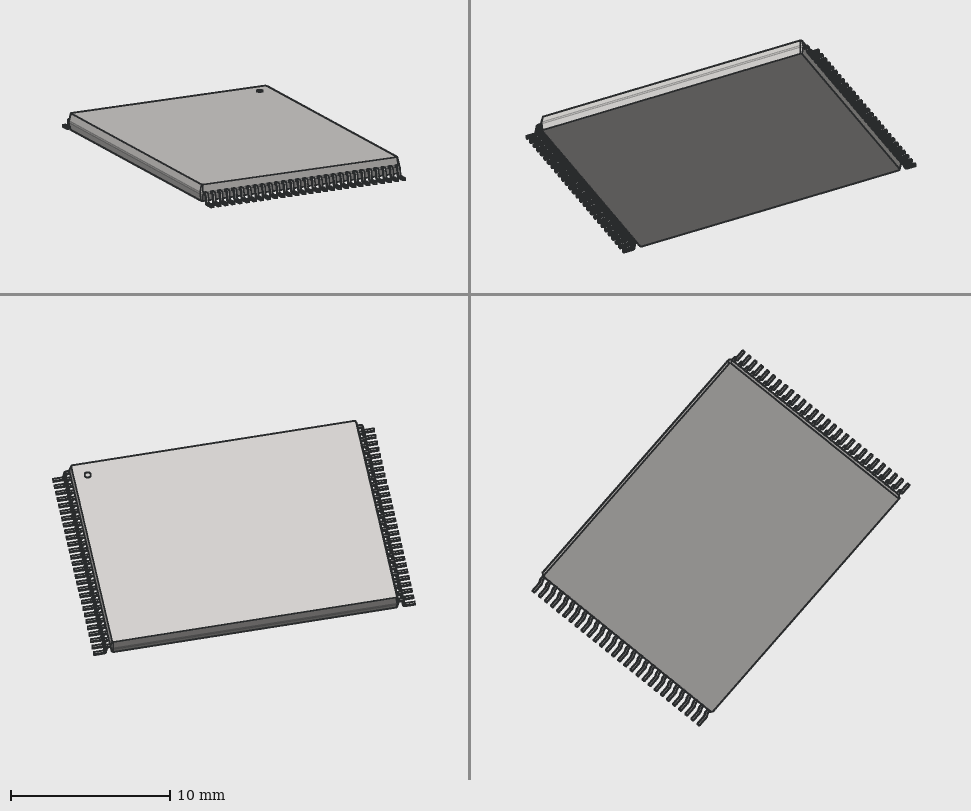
import cadquery as cq
import math

span_x = 20.5
body_x = 18.4
body_y = 14.0
top_z = 1.2
standoff = 0.13

upper_inset = 0.11
lower_inset = 0.08
corner_chamfer = 0.13

leads_per_side = 28
lead_pitch = 0.5
lead_width = 0.17
lead_thickness = 0.125
lead_top_z = 0.73
foot_length = 0.74
leg_lean = 0.11
bend_inner_radius = 0.04
bend_outer_radius = bend_inner_radius + lead_thickness
lead_embed = 0.2

band_top_z = lead_top_z
band_bottom_z = lead_top_z - lead_thickness

dimple_diameter = 0.4
dimple_depth = 0.05
dimple_edge_distance = 0.9


def plan_outline(z):
    """Sketch of the body outline with chamfered corners, at height z."""
    half_x = body_x / 2
    half_y = body_y / 2
    cut = corner_chamfer
    return (
        cq.Workplane("XY", origin=(0, 0, z))
        .moveTo(half_x - cut, half_y)
        .lineTo(half_x, half_y - cut)
        .lineTo(half_x, cut - half_y)
        .lineTo(half_x - cut, -half_y)
        .lineTo(cut - half_x, -half_y)
        .lineTo(-half_x, cut - half_y)
        .lineTo(-half_x, half_y - cut)
        .lineTo(cut - half_x, half_y)
        .close()
    )


def tapered_half(start_z, end_z, inset):
    """Half of the moulding whose walls lean inward by inset between the two heights."""
    height = end_z - start_z
    taper = math.degrees(math.atan2(inset, abs(height)))
    return plan_outline(start_z).extrude(height, taper=taper)


def make_body():
    lower_half = tapered_half(band_bottom_z, standoff, lower_inset)
    band = plan_outline(band_bottom_z).extrude(band_top_z - band_bottom_z)
    upper_half = tapered_half(band_top_z, top_z, upper_inset)
    return lower_half.union(band).union(upper_half)


def cut_dimple(body):
    dimple_x = -(body_x / 2 - upper_inset - dimple_edge_distance)
    dimple_y = body_y / 2 - upper_inset - dimple_edge_distance
    dimple = (
        cq.Workplane("XY", origin=(dimple_x, dimple_y, top_z - dimple_depth))
        .circle(dimple_diameter / 2)
        .extrude(dimple_depth)
    )
    return body.cut(dimple)


def make_lead():
    """Gull-wing lead on the -X side, centred on y = 0."""
    tip_x = -span_x / 2
    inner_x = -body_x / 2 + lead_embed
    leg_angle = math.atan2(band_bottom_z, leg_lean)
    leg_offset = lead_thickness / math.sin(leg_angle)
    mitre = lead_thickness / math.tan(leg_angle)
    foot_bottom_x = tip_x + foot_length
    foot_top_x = foot_bottom_x + mitre - leg_offset
    shoulder_bottom_x = foot_bottom_x + leg_lean
    shoulder_top_x = foot_top_x + leg_lean
    lead = (
        cq.Workplane("XZ", origin=(0, lead_width / 2, 0))
        .moveTo(tip_x, 0)
        .lineTo(foot_bottom_x, 0)
        .lineTo(shoulder_bottom_x, band_bottom_z)
        .lineTo(inner_x, band_bottom_z)
        .lineTo(inner_x, lead_top_z)
        .lineTo(shoulder_top_x, lead_top_z)
        .lineTo(foot_top_x, lead_thickness)
        .lineTo(tip_x, lead_thickness)
        .close()
        .extrude(lead_width)
    )

    bends = (
        (foot_bottom_x, 0, bend_outer_radius),
        (shoulder_top_x, lead_top_z, bend_outer_radius),
        (foot_top_x, lead_thickness, bend_inner_radius),
        (shoulder_bottom_x, band_bottom_z, bend_inner_radius),
    )
    for bend_x, bend_z, radius in bends:
        corner = cq.selectors.NearestToPointSelector((bend_x, 0, bend_z))
        lead = lead.edges("|Y").edges(corner).fillet(radius)
    return lead


def add_leads(body):
    left_lead = make_lead()
    right_lead = left_lead.mirror("YZ")
    first_y = -(leads_per_side - 1) * lead_pitch / 2
    leads = []
    for index in range(leads_per_side):
        shift = cq.Vector(0, first_y + index * lead_pitch, 0)
        for lead in (left_lead, right_lead):
            leads.append(lead.val().translate(shift))
    return cq.Workplane(body.val().fuse(*leads))


result = add_leads(cut_dimple(make_body()))